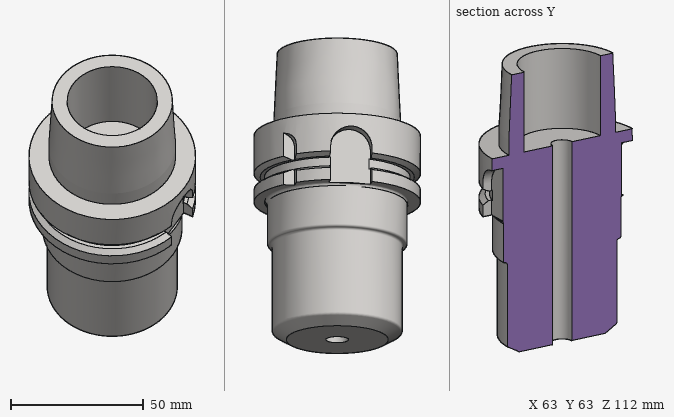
import cadquery as cq

total_height = 112.0
taper_base_z = 86.1
collar_top_z = 80.0
groove_top_z = 63.8
groove_bottom_z = 60.0
collar_bottom_z = 54.0
body_bottom_z = 37.9

taper_top_radius = 22.7
taper_base_radius = 24.0
collar_radius = 31.5
groove_radius = 27.5
body_radius = 26.4
shank_radius = 24.6
nose_radius = 19.3

groove_chamfer_width = 2.4
groove_chamfer_height = 1.3
collar_fillet = 1.0
step_blend = (body_radius - shank_radius) / 2
nose_chamfer_height = 3.1
nose_round = 1.1

socket_radius = 17.0
socket_depth = total_height - collar_top_z
through_radius = 4.3

slot_radius = 8.0
slot_arch_z = 67.1
slot_floor_x = 26.5

notch_radius = 5.5
notch_arch_z = 68.9
notch_center_y = 25.5
notch_floor_x = 20.2


def turned_body():
    """Revolve the outer half profile, from the nose up to the taper."""
    chamfer_radius = collar_radius - groove_chamfer_width
    blend_radius = body_radius - step_blend
    blend_z = body_bottom_z - step_blend
    profile = (
        cq.Workplane("XZ")
        .lineTo(nose_radius, 0)
        .lineTo(shank_radius, nose_chamfer_height)
        .lineTo(shank_radius, blend_z - step_blend)
        .radiusArc((blend_radius, blend_z), step_blend)
        .radiusArc((body_radius, body_bottom_z), -step_blend)
        .lineTo(body_radius, collar_bottom_z - collar_fillet)
        .radiusArc((body_radius + collar_fillet, collar_bottom_z), collar_fillet)
        .lineTo(collar_radius, collar_bottom_z)
        .lineTo(collar_radius, groove_bottom_z - groove_chamfer_height)
        .lineTo(chamfer_radius, groove_bottom_z)
        .lineTo(groove_radius, groove_bottom_z)
        .lineTo(groove_radius, groove_top_z)
        .lineTo(chamfer_radius, groove_top_z)
        .lineTo(collar_radius, groove_top_z + groove_chamfer_height)
        .lineTo(collar_radius, collar_top_z)
        .lineTo(taper_base_radius, collar_top_z)
        .lineTo(taper_base_radius, taper_base_z)
        .lineTo(taper_top_radius, total_height)
        .lineTo(0, total_height)
        .close()
    )
    body = profile.revolve(360, (0, 0, 0), (0, 1, 0))
    nose_edge = body.edges("%CIRCLE").edges(
        cq.selectors.BoxSelector(
            (-collar_radius, -collar_radius, nose_chamfer_height - nose_round),
            (collar_radius, collar_radius, nose_chamfer_height + nose_round),
        )
    )
    return nose_edge.fillet(nose_round)


def arched_cutter(radius, arch_z, center_y, floor_x):
    """Arched slot on the -X side, open downward through the collar."""
    return (
        cq.Workplane("YZ", origin=(-floor_x, center_y, 0))
        .moveTo(-radius, collar_bottom_z)
        .lineTo(-radius, arch_z)
        .threePointArc((0, arch_z + radius), (radius, arch_z))
        .lineTo(radius, collar_bottom_z)
        .close()
        .extrude(-collar_radius)
    )


result = turned_body()

result = result.faces(">Z").workplane().circle(socket_radius).cutBlind(-socket_depth)
result = result.cut(cq.Workplane("XY").circle(through_radius).extrude(total_height))

drive_slot = arched_cutter(slot_radius, slot_arch_z, 0, slot_floor_x)
for angle in (0, 180):
    result = result.cut(drive_slot.rotate((0, 0, 0), (0, 0, 1), angle))

result = result.cut(arched_cutter(notch_radius, notch_arch_z, notch_center_y, notch_floor_x))